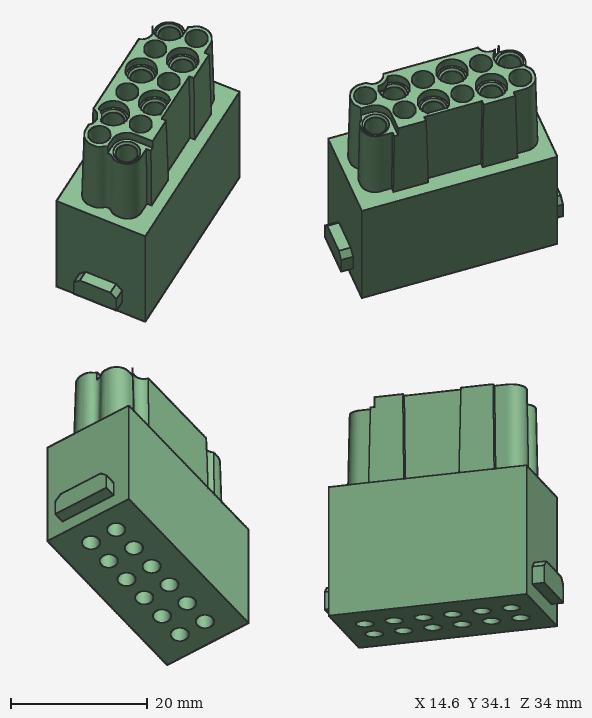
import cadquery as cq
import math

BODY_WIDTH = 14.6
BODY_LENGTH = 30.42
BODY_HEIGHT = 20.0
TOTAL_LENGTH = 34.1
TOTAL_HEIGHT = 34.0

TAB_BOTTOM = 2.5
TAB_TOP = 6.17
TAB_CHAMFER = 1.0
FRONT_TAB_WIDTH = 7.0
BACK_TAB_WIDTH = 9.15

PITCH = 4.5
COLUMNS = 2
ROWS = 6
BORE_RADIUS = 1.65
BORE_TAPER = 0.15
BORE_DEPTH = 6.82
THROAT_RADIUS = 1.33
SOCKET_RADIUS = 2.32
SOCKET_DEPTH = 1.55
CONE_RADIUS = 1.98
CONE_DEPTH = 0.35
FLANK_WALL = 0.5

DRAFT = 0.25
TOWER_HALF_WIDTH = 4.75
TOWER_HALF_LENGTH = 13.7
CORNER_RADIUS = 2.25
KEY_X = 5.5
RIB_INNER_Y = 4.23
RIB_OUTER_Y = 9.65
NOTCH_X = -5.6
NOTCH_Y = 9.0
NOTCH_RADIUS = 1.43
NOTCH_WALL = 0.65
NOTCH_MID_ANGLE = math.radians(30)
END_LOBE_X = 1.9
END_LOBE_RADIUS = 1.85
END_LOBE_ANGLE = math.radians(45)

RECESS_RADIUS = 2.42

TOP = TOTAL_HEIGHT
RECESS_FLOOR = TOP - SOCKET_DEPTH
FAR = TOTAL_LENGTH


def tower_outline(plane, inset):
    """Closed tower outline, moved inwards by `inset`."""
    half_width = TOWER_HALF_WIDTH - inset
    half_length = TOWER_HALF_LENGTH - inset
    key_x = KEY_X - inset
    rib_inner = RIB_INNER_Y + inset
    rib_outer = RIB_OUTER_Y - inset

    corner_x = half_width - CORNER_RADIUS
    corner_y = half_length - CORNER_RADIUS
    corner_mid_x = corner_x + CORNER_RADIUS * math.sqrt(0.5)
    corner_mid_y = corner_y + CORNER_RADIUS * math.sqrt(0.5)

    lobe_radius = END_LOBE_RADIUS - inset
    lobe_center_y = half_length - lobe_radius
    lobe_mid_x = END_LOBE_X - lobe_radius * math.sin(END_LOBE_ANGLE / 2)
    lobe_mid_y = lobe_center_y + lobe_radius * math.cos(END_LOBE_ANGLE / 2)
    groove_x = END_LOBE_X - lobe_radius * math.sin(END_LOBE_ANGLE)
    groove_edge_y = lobe_center_y + lobe_radius * math.cos(END_LOBE_ANGLE)
    groove_radius = groove_x / math.sin(END_LOBE_ANGLE)
    groove_floor_y = groove_edge_y - groove_radius * (1 - math.cos(END_LOBE_ANGLE))

    notch_radius = NOTCH_RADIUS + inset
    notch_floor_x = NOTCH_X + notch_radius
    notch_outer_y = NOTCH_Y + math.sqrt(notch_radius**2 - (half_width + NOTCH_X) ** 2)
    notch_inner_y = NOTCH_Y - math.sqrt(notch_radius**2 - (key_x + NOTCH_X) ** 2)
    notch_mid_x = NOTCH_X + notch_radius * math.cos(NOTCH_MID_ANGLE)
    notch_mid_y = notch_radius * math.sin(NOTCH_MID_ANGLE)

    return (
        plane.moveTo(half_width, -corner_y)
        .lineTo(half_width, -rib_outer)
        .lineTo(key_x, -rib_outer)
        .lineTo(key_x, -rib_inner)
        .lineTo(half_width, -rib_inner)
        .lineTo(half_width, rib_inner)
        .lineTo(key_x, rib_inner)
        .lineTo(key_x, rib_outer)
        .lineTo(half_width, rib_outer)
        .lineTo(half_width, corner_y)
        .threePointArc((corner_mid_x, corner_mid_y), (corner_x, half_length))
        .lineTo(END_LOBE_X, half_length)
        .threePointArc((lobe_mid_x, lobe_mid_y), (groove_x, groove_edge_y))
        .threePointArc((0, groove_floor_y), (-groove_x, groove_edge_y))
        .threePointArc((-lobe_mid_x, lobe_mid_y), (-END_LOBE_X, half_length))
        .lineTo(-corner_x, half_length)
        .threePointArc((-corner_mid_x, corner_mid_y), (-half_width, corner_y))
        .lineTo(-half_width, notch_outer_y)
        .threePointArc((notch_mid_x, NOTCH_Y + notch_mid_y), (notch_floor_x, NOTCH_Y))
        .threePointArc((notch_mid_x, NOTCH_Y - notch_mid_y), (-key_x, notch_inner_y))
        .lineTo(-key_x, -notch_inner_y)
        .threePointArc((notch_mid_x, notch_mid_y - NOTCH_Y), (notch_floor_x, -NOTCH_Y))
        .threePointArc((notch_mid_x, -notch_mid_y - NOTCH_Y), (-half_width, -notch_outer_y))
        .lineTo(-half_width, -corner_y)
        .threePointArc((-corner_mid_x, -corner_mid_y), (-corner_x, -half_length))
        .lineTo(-END_LOBE_X, -half_length)
        .threePointArc((-lobe_mid_x, -lobe_mid_y), (-groove_x, -groove_edge_y))
        .threePointArc((0, -groove_floor_y), (groove_x, -groove_edge_y))
        .threePointArc((lobe_mid_x, -lobe_mid_y), (END_LOBE_X, -half_length))
        .lineTo(corner_x, -half_length)
        .threePointArc((corner_mid_x, -corner_mid_y), (half_width, -corner_y))
        .close()
    )


def make_tower():
    foot = tower_outline(cq.Workplane("XY").workplane(offset=BODY_HEIGHT), 0)
    head = tower_outline(cq.Workplane("XY").workplane(offset=TOP), DRAFT)
    return cq.Workplane(cq.Solid.makeLoft([foot.val(), head.val()], True))


def make_tab(width, end):
    """Tab with chamfered upper corners; `end` is -1 for the -Y end and +1 for the +Y end."""
    half = width / 2
    points = [
        (-half, TAB_BOTTOM),
        (half, TAB_BOTTOM),
        (half, TAB_TOP - TAB_CHAMFER),
        (half - TAB_CHAMFER, TAB_TOP),
        (-half + TAB_CHAMFER, TAB_TOP),
        (-half, TAB_TOP - TAB_CHAMFER),
    ]
    return cq.Workplane("XZ").polyline(points).close().extrude(-end * TOTAL_LENGTH / 2)


def cylinder(x, y, radius, bottom, top):
    return cq.Workplane("XY").workplane(offset=bottom).center(x, y).circle(radius).extrude(top - bottom)


def block(x_min, x_max, y_min, y_max, bottom, top):
    size = (x_max - x_min, y_max - y_min, top - bottom)
    return cq.Workplane("XY").box(*size, centered=False).translate((x_min, y_min, bottom))


def cone(x, y, bottom_radius, top_radius, bottom, top):
    base = cq.Vector(x, y, bottom)
    return cq.Workplane(cq.Solid.makeCone(bottom_radius, top_radius, top - bottom, base))


def make_bore(x, y):
    """Slightly tapered contact bore with a narrower throat running through the body."""
    throat = cylinder(x, y, THROAT_RADIUS, 0, TOP)
    return throat.union(cone(x, y, BORE_RADIUS - BORE_TAPER, BORE_RADIUS, TOP - BORE_DEPTH, TOP))


def make_lead_in(x, y):
    """Conical lead-in below the floor of a socket."""
    return cone(x, y, BORE_RADIUS, CONE_RADIUS, RECESS_FLOOR - CONE_DEPTH, RECESS_FLOOR)


def make_socket(x, y):
    """Wide socket, trimmed where it would break through the flank or a notch."""
    socket = cylinder(x, y, SOCKET_RADIUS, RECESS_FLOOR, TOP)
    if abs(y) < RIB_INNER_Y:
        flank_trim_x = TOWER_HALF_WIDTH - DRAFT - FLANK_WALL
        socket = socket.cut(block(flank_trim_x, FAR, -FAR, FAR, RECESS_FLOOR, TOP))
    trim_radius = NOTCH_RADIUS + DRAFT + NOTCH_WALL
    return socket.cut(cylinder(NOTCH_X, -NOTCH_Y, trim_radius, RECESS_FLOOR, TOP))


def make_corner_recesses(x, y):
    """Open recesses at the (-X, +Y) and (+X, -Y) corner contacts."""
    back = cylinder(-x, y, RECESS_RADIUS, RECESS_FLOOR, TOP)
    back = back.union(block(-FAR, RECESS_RADIUS - x, y, FAR, RECESS_FLOOR, TOP))
    front = cylinder(x, -y, RECESS_RADIUS, RECESS_FLOOR, TOP)
    front = front.union(block(x - RECESS_RADIUS, FAR, -FAR, -y, RECESS_FLOOR, TOP))
    front = front.union(block(x, FAR, -FAR, RECESS_RADIUS - y, RECESS_FLOOR, TOP))
    return back.union(front)


result = cq.Workplane("XY").box(BODY_WIDTH, BODY_LENGTH, BODY_HEIGHT, centered=(True, True, False))
result = result.union(make_tower())
result = result.union(make_tab(FRONT_TAB_WIDTH, -1))
result = result.union(make_tab(BACK_TAB_WIDTH, 1))

corner_contact_x = PITCH * (COLUMNS - 1) / 2
corner_contact_y = PITCH * (ROWS - 1) / 2
result = result.cut(make_corner_recesses(corner_contact_x, corner_contact_y))

for column in range(COLUMNS):
    for row in range(ROWS):
        contact_x = column * PITCH - corner_contact_x
        contact_y = row * PITCH - corner_contact_y
        result = result.cut(make_bore(contact_x, contact_y))
        has_socket = (column + row) % 2 == 1
        is_corner = row in (0, ROWS - 1)
        if has_socket:
            result = result.cut(make_lead_in(contact_x, contact_y))
        if has_socket and not is_corner:
            result = result.cut(make_socket(contact_x, contact_y))